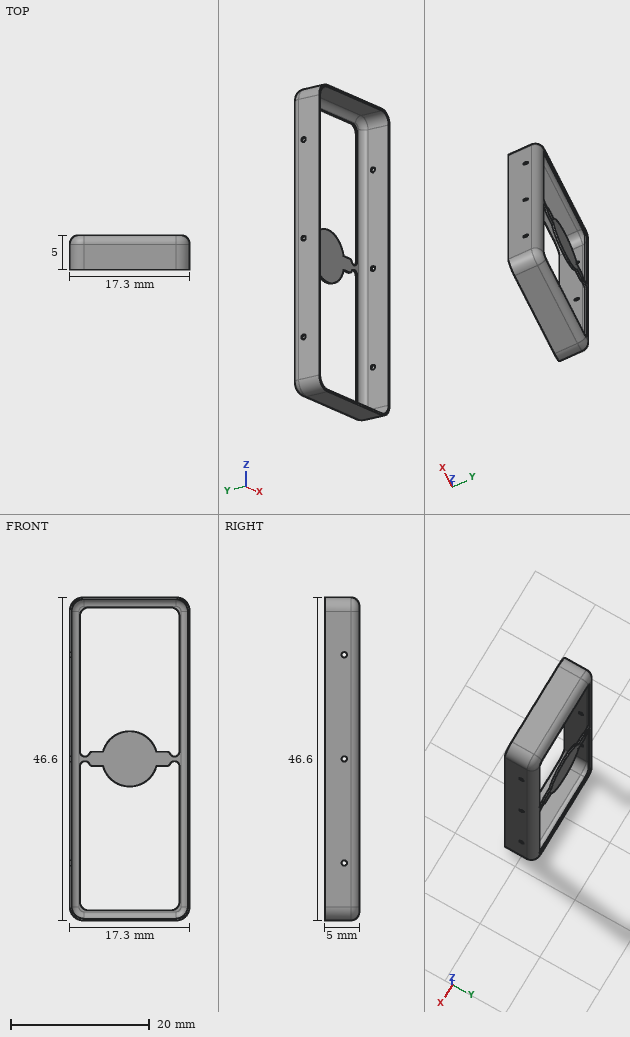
import cadquery as cq
import math

WIDTH = 17.3
HEIGHT = 46.6
DEPTH = 5.0
WALL = 0.3
CORNER_RADIUS = 2.0
BACK_EDGE_RADIUS = 1.3

WINDOW_BORDER = 1.5
WINDOW_CORNER_RADIUS = 1.2

DISC_DIAMETER = 8.0
ARM_HEIGHT = 2.1
ARM_CORNER_RADIUS = 0.5
NECK_HEIGHT = 0.7
NOTCH_RADIUS = 0.7
ANCHOR_OVERLAP = 0.1

PIN_HOLE_DIAMETER = 0.75
PIN_HOLE_SPACING = 15.0
PIN_HOLE_Y = 2.8

window_width = WIDTH - 2 * WINDOW_BORDER
window_height = HEIGHT - 2 * WINDOW_BORDER
floor_front = DEPTH - WALL


def rounded_block(width, height, corner_radius, y_start, y_end):
    """Block centred on the Y axis, with rounded corners in the XZ plane."""
    block = cq.Workplane("XZ", origin=(0, y_start, 0)).rect(width, height).extrude(y_start - y_end)
    return block.edges("|Y").fillet(corner_radius)


def make_frame():
    outside = rounded_block(WIDTH, HEIGHT, CORNER_RADIUS, 0, DEPTH)
    outside = outside.faces(">Y").edges().fillet(BACK_EDGE_RADIUS)
    cavity = rounded_block(WIDTH - 2 * WALL, HEIGHT - 2 * WALL, CORNER_RADIUS - WALL, 0, floor_front)
    cavity = cavity.faces(">Y").edges().fillet(BACK_EDGE_RADIUS - WALL)
    window = rounded_block(window_width, window_height, WINDOW_CORNER_RADIUS, 0, DEPTH)
    return outside.cut(cavity).cut(window)


def make_arm_quarter():
    """Upper half of the +X arm, from the disc centre to the frame.

    The arm's rounded corner runs tangent into a round notch, and the notch into the window edge.
    """
    window_edge = window_width / 2
    anchor_x = window_edge + ANCHOR_OVERLAP
    notch_x = window_edge - NOTCH_RADIUS
    notch_z = NECK_HEIGHT / 2 + NOTCH_RADIUS

    corner_z = ARM_HEIGHT / 2 - ARM_CORNER_RADIUS
    centre_distance = ARM_CORNER_RADIUS + NOTCH_RADIUS
    corner_x = notch_x - math.sqrt(centre_distance ** 2 - (notch_z - corner_z) ** 2)
    corner_share = ARM_CORNER_RADIUS / centre_distance
    touch_x = corner_x + corner_share * (notch_x - corner_x)
    touch_z = corner_z + corner_share * (notch_z - corner_z)

    outline = cq.Workplane("XZ", origin=(0, floor_front, 0)).lineTo(0, ARM_HEIGHT / 2)
    outline = outline.lineTo(corner_x, ARM_HEIGHT / 2)
    outline = outline.radiusArc((touch_x, touch_z), ARM_CORNER_RADIUS)
    outline = outline.threePointArc((notch_x, NECK_HEIGHT / 2), (window_edge, notch_z))
    outline = outline.lineTo(anchor_x, notch_z).lineTo(anchor_x, 0).close()
    return outline.extrude(-WALL)


def make_disc_and_arms():
    """Disc with an arm to each side; each arm narrows to a neck beside the frame."""
    quarter = make_arm_quarter()
    arm = quarter.union(quarter.mirror("XY"))
    disc = cq.Workplane("XZ", origin=(0, floor_front, 0)).circle(DISC_DIAMETER / 2).extrude(-WALL)
    return disc.union(arm).union(arm.mirror("YZ"))


def make_pin_holes():
    spots = [(PIN_HOLE_Y, row * PIN_HOLE_SPACING) for row in (-1, 0, 1)]
    holes = cq.Workplane("YZ", origin=(-WIDTH / 2, 0, 0)).pushPoints(spots)
    return holes.circle(PIN_HOLE_DIAMETER / 2).extrude(WIDTH)


result = make_frame().union(make_disc_and_arms()).cut(make_pin_holes())